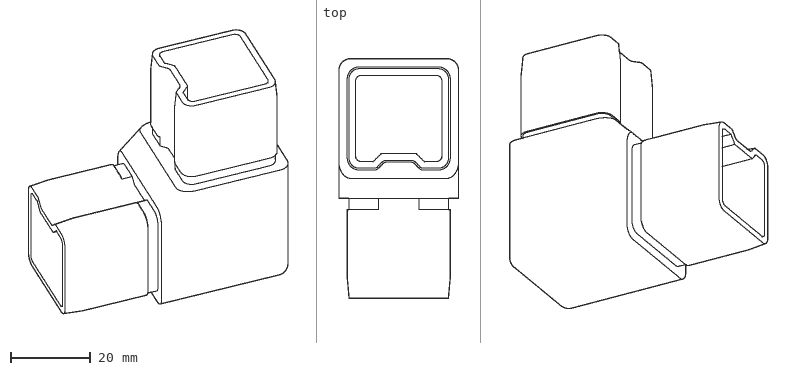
import cadquery as cq
import math


overall_length = 60.0
elbow_width = 30.0
elbow_length = 35.0
elbow_radius = 3.0

plug_width = 25.8
plug_radius = 3.0
neck_inset = 0.45
neck_length = 2.8
tip_length = 5.0
plug_end = overall_length - elbow_length

groove_half_mouth = 5.5
groove_depth = 2.0
groove_radius = 1.25
flank_angle = 45.0

selection_margin = 0.05

wall = 2.1
bore_radius = 1.45
bore_start = 20.0

axis_offset = elbow_width / 2
cavity_offset = axis_offset - plug_width / 2 + wall


def grooved_bar(inset, corner_radius, length):
    """Square bar along +Z with a sharp groove on its -Y side, inset evenly from the plug outline."""
    half = plug_width / 2 - inset
    mouth = groove_half_mouth + inset * math.tan(math.radians(flank_angle / 2))
    floor = mouth - groove_depth / math.tan(math.radians(flank_angle))
    floor_y = groove_depth - half
    bar = cq.Workplane("XY").rect(2 * half, 2 * half).extrude(length).edges("|Z").fillet(corner_radius)
    groove = (
        cq.Workplane("XY")
        .polyline([(-mouth, -half), (-floor, floor_y), (floor, floor_y), (mouth, -half)])
        .close()
        .extrude(length)
    )
    return bar.cut(groove)


def round_groove_edges(bar, depth, length):
    """Round the two groove edges that lie at the given depth below the plug side."""
    y = depth - plug_width / 2
    box = cq.selectors.BoxSelector(
        (-groove_half_mouth - selection_margin, y - selection_margin, 0),
        (groove_half_mouth + selection_margin, y + selection_margin, length),
    )
    return bar.edges("|Z").edges(box).fillet(groove_radius)


def make_plug():
    """Plug along +Z from the origin: thinner neck, full-width grip and tapered tip."""
    straight_length = plug_end - tip_length
    bar = grooved_bar(0, plug_radius, straight_length)
    bar = round_groove_edges(bar, groove_depth, straight_length)
    bar = round_groove_edges(bar, 0, straight_length)

    taper = math.degrees(math.atan(neck_inset / tip_length))
    tip = bar.faces(">Z").wires().toPending().workplane().extrude(tip_length, taper=taper, combine=False)

    neck_width = plug_width - 2 * neck_inset
    neck_space = cq.Workplane("XY").rect(elbow_width, elbow_width).extrude(neck_length)
    neck_core = (
        cq.Workplane("XY")
        .rect(neck_width, neck_width)
        .extrude(neck_length)
        .edges("|Z")
        .fillet(plug_radius - neck_inset)
    )
    return bar.cut(neck_space.cut(neck_core)).union(tip)


def to_front(shape):
    """Turn a shape on the +Z leg onto the -Y leg, about the elbow's diagonal."""
    return shape.rotate((0, 0, 0), (0, 1, -1), 180)


def make_elbow():
    """Solid elbow block with a chamfered inner corner and rounded edges."""
    block = (
        cq.Workplane("YZ")
        .polyline([
            (0, 0),
            (0, elbow_length),
            (-elbow_width, elbow_length),
            (-elbow_length, elbow_width),
            (-elbow_length, 0),
        ])
        .close()
        .extrude(elbow_width / 2, both=True)
    )
    side_edges = block.edges("|Z and >Y").add(block.edges("|Y and <Z"))
    corner_edge = block.edges("|X").edges(cq.selectors.NearestToPointSelector((0, 0, 0)))
    inner_edges = block.edges("not(|X or |Y or |Z)")
    return side_edges.add(corner_edge).add(inner_edges).fillet(elbow_radius)


def make_corner_cavity():
    """Rounded space at the elbow corner that joins the two bores."""
    size = bore_start - cavity_offset
    width = plug_width - 2 * wall
    return (
        cq.Workplane("XY")
        .box(width, size, size, centered=(True, False, False))
        .translate((0, -bore_start, cavity_offset))
        .edges("(|Z and >Y) or (|Y and <Z) or (|X and >Y and <Z)")
        .fillet(bore_radius)
    )


plug = make_plug().translate((0, -axis_offset, elbow_length))
bore = grooved_bar(wall, bore_radius, overall_length - bore_start).translate((0, -axis_offset, bore_start))

result = make_elbow().union(plug).union(to_front(plug))
result = result.cut(bore).cut(to_front(bore)).cut(make_corner_cavity())